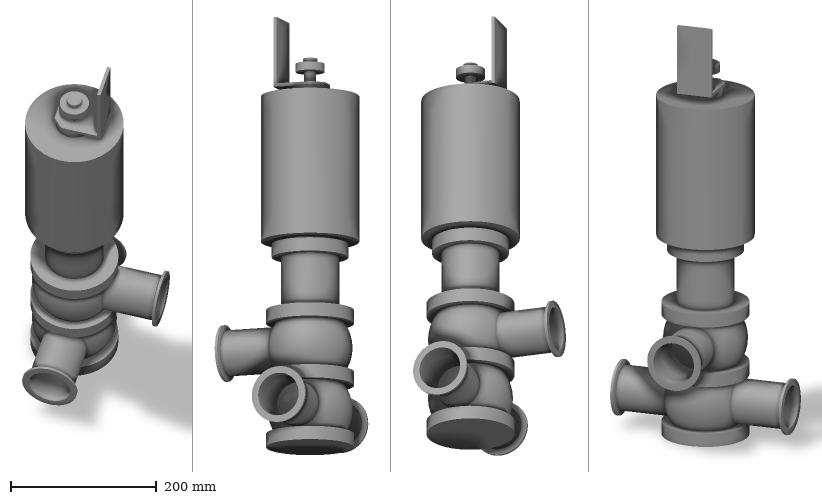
import cadquery as cq

flange_diameter = 121.0
flange_thickness = 18.5
chamber_height = 67.5
ball_diameter = 116.5
ball_seam_angle = 135.0
stem_diameter = 80.0
collar_diameter = 105.0
collar_thickness = 18.5
collar_bottom = 264.5
actuator_diameter = 135.0
actuator_bottom = 286.5
actuator_top = 489.0
boss_diameter = 50.0
boss_height = 5.5

pipe_diameter = 63.5
bore_diameter = 59.0
port_reach = 125.0
tube_start = 24.0
ferrule_diameter = 78.0
ferrule_rim = 3.5
ferrule_taper = 2.5

disc_height = 6.5
plate_thickness = 5.0
plate_width = boss_diameter
plate_end = 44.0
plate_corner = 14.0
bracket_top = 598.0
rod_diameter = 16.0
nut_diameter = 40.0
nut_bottom = 523.0
nut_top = 534.0
knob_diameter = 20.0
knob_top = 541.5

flange_pitch = flange_thickness + chamber_height
lower_center = flange_thickness + chamber_height / 2
upper_center = lower_center + flange_pitch
stem_bottom = 2 * flange_pitch
boss_top = actuator_top + boss_height
plate_bottom = boss_top + disc_height
plate_top = plate_bottom + plate_thickness


def cylinder(diameter, bottom, top):
    """Upright cylinder on the valve axis."""
    return cq.Workplane("XY").workplane(offset=bottom).circle(diameter / 2).extrude(top - bottom)


def ball(center_height):
    """Solid ball with its top and bottom cut flat where the flanges meet it."""
    whole = cq.Workplane("XY").sphere(ball_diameter / 2)
    whole = whole.rotate((0, 0, 0), (0, 0, 1), ball_seam_angle).translate((0, 0, center_height))
    half_height = chamber_height / 2
    return whole.intersect(cylinder(flange_diameter, center_height - half_height, center_height + half_height))


def port(center_height, angle):
    """Hollow pipe from the ball to its ferrule, turned about Z from +X."""
    pipe_radius = pipe_diameter / 2
    rim_radius = ferrule_diameter / 2
    rim_back = port_reach - ferrule_rim
    bore_radius = bore_diameter / 2
    tube = (
        cq.Workplane("XZ")
        .moveTo(tube_start, bore_radius)
        .lineTo(port_reach, bore_radius)
        .lineTo(port_reach, rim_radius)
        .lineTo(rim_back, rim_radius)
        .lineTo(rim_back - ferrule_taper, pipe_radius)
        .lineTo(tube_start, pipe_radius)
        .close()
        .revolve(360, (0, 0, 0), (1, 0, 0))
    )
    return tube.rotate((0, 0, 0), (0, 0, 1), angle).translate((0, 0, center_height))


def make_valve():
    """Two ball chambers with their ports, the stem and the actuator."""
    valve = cylinder(stem_diameter, stem_bottom, actuator_bottom)
    for level in range(3):
        bottom = level * flange_pitch
        valve = valve.union(cylinder(flange_diameter, bottom, bottom + flange_thickness))
    for center_height in (lower_center, upper_center):
        valve = valve.union(ball(center_height))
    valve = valve.union(cylinder(collar_diameter, collar_bottom, collar_bottom + collar_thickness))
    valve = valve.union(cylinder(actuator_diameter, actuator_bottom, actuator_top))
    valve = valve.union(cylinder(boss_diameter, actuator_top, boss_top))
    for center_height, angle in ((lower_center, 90), (lower_center, -90), (upper_center, 0)):
        valve = valve.union(port(center_height, angle))
    return valve


def make_bracket():
    """L-shaped sheet: a plate with two cut corners and an upright at its +X end."""
    plate_start = -plate_width / 2
    plate = (
        cq.Workplane("XY")
        .box(plate_end - plate_start, plate_width, plate_thickness, centered=(False, True, False))
        .translate((plate_start, 0, plate_bottom))
        .edges("|Z and <X")
        .chamfer(plate_corner)
    )
    upright = (
        cq.Workplane("XY")
        .box(plate_thickness, plate_width, bracket_top - plate_bottom, centered=(False, True, False))
        .translate((plate_end - plate_thickness, 0, plate_bottom))
    )
    return plate.union(upright)


def make_indicator():
    """Base disc, bracket, rod, nut and knob, standing on the actuator boss."""
    indicator = cylinder(boss_diameter, boss_top, plate_bottom).union(make_bracket())
    indicator = indicator.union(cylinder(rod_diameter, plate_top, nut_bottom))
    indicator = indicator.union(cylinder(nut_diameter, nut_bottom, nut_top))
    return indicator.union(cylinder(knob_diameter, nut_top, knob_top))


valve = make_valve()
indicator = make_indicator()
result = cq.Compound.makeCompound([valve.val(), indicator.val()])